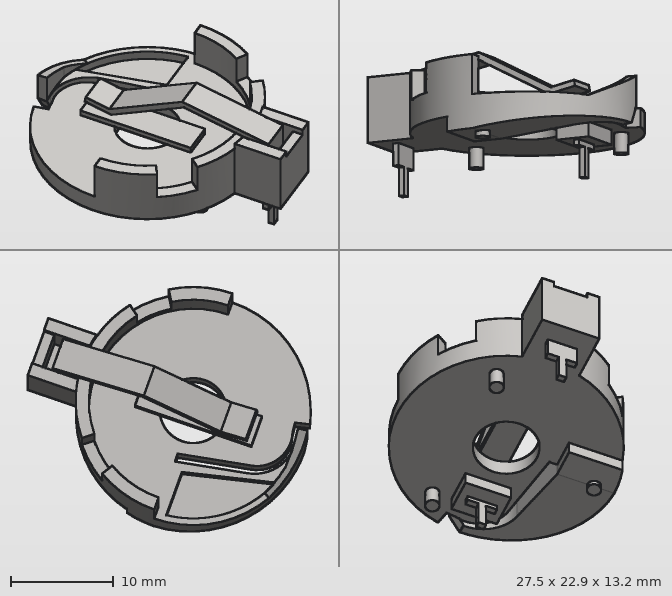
import cadquery as cq
import math

disc_diameter = 22.9
disc_radius = disc_diameter / 2
disc_height = 1.9
hole_diameter = 6.5

wall_inner_radius = 10.18
wall_top = 5.88
notch_floor = 2.9
notch_start_angle = 38.0
notch_end_angle = 58.5

slot_angle = 10.0
slot_outer_y = 5.4
slot_inner_y = 4.56
slot_outer_left = -10.48
slot_inner_left = -10.0
slot_outer_bend = 4.12
slot_inner_bend = 3.45
slot_outer_end = 185.0
slot_inner_end = 198.0
arm_tip_angle = 186.0
mouth_angle = 192.5
mouth_inner_radius = 9.98

hook_top = 4.87
hook_start_angle = 149.6
hook_inner_radius = 10.78
hook_bend_angle = 166.0
hook_waist = (-10.53, 1.1)
tip_bevel_length = 1.13
pocket_floor = 0.94
pocket_right = -1.0
pocket_right_y = 6.15
pocket_mid_angle = 130.0
pocket_left = (-9.95, 4.12)

pad_depth = 1.48
ramp_pad_length = 2.97
block_length = 3.55
block_width = 4.8
post_diameter = 1.4
post_side_position = (8.0, -4.43)
post_back_y = 9.3
post_depth = 2.0

overall_length = 27.5
housing_right = overall_length - disc_radius
housing_width = 6.05
housing_top = 6.52
channel_width = 3.52
channel_right = 15.0
channel_floor = disc_height

sheet = 0.6
contact_width = 3.1
pin_width = 0.8
pin_bottom = -5.0
lower_contact_left = -6.55
lower_contact_right = 5.5
lower_shoulder = -2.04
upper_contact_right = 14.0
upper_shoulder = -2.2
spring_top = [(-5.97, 4.48), (-3.38, 4.0), (4.56, 8.2), (upper_contact_right, 6.45)]
spring_underside = [(-6.08, 3.88), (-3.15, 3.33), (4.75, 7.54), (upper_contact_right - sheet, 5.95)]

reach = 1.2 * disc_radius


def polar(radius, angle, centre=(0, 0)):
    a = math.radians(angle)
    return (centre[0] + radius * math.cos(a), centre[1] + radius * math.sin(a))


def slab(x0, x1, width, z0, z1):
    """Box between two X and two Z positions, centred on Y = 0."""
    box = cq.Workplane("XY").box(x1 - x0, width, z1 - z0, centered=(False, True, False))
    return box.translate((x0, 0, z0))


def disc(radius, z0, z1):
    return cq.Workplane("XY").workplane(offset=z0).circle(radius).extrude(z1 - z0)


def sector(start, end, z0, z1):
    """Wedge with its apex on the plate axis, for angles less than 90 degrees apart."""
    far = 2 * disc_radius
    outline = cq.Workplane("XY").workplane(offset=z0).moveTo(0, 0)
    return outline.lineTo(*polar(far, start)).lineTo(*polar(far, end)).close().extrude(z1 - z0)


def slot_bend(edge_y, left, radius, end_angle):
    """Start, middle and end of the bend that is tangent to a sloping slot edge."""
    slope = math.radians(slot_angle)
    centre_x = left + radius
    centre = (centre_x, edge_y + centre_x * math.tan(slope) - radius / math.cos(slope))
    start_angle = 90 + slot_angle
    middle_angle = (start_angle + end_angle) / 2
    return [polar(radius, angle, centre) for angle in (start_angle, middle_angle, end_angle)]


outer_bend = slot_bend(slot_outer_y, slot_outer_left, slot_outer_bend, slot_outer_end)
inner_bend = slot_bend(slot_inner_y, slot_inner_left, slot_inner_bend, slot_inner_end)
arm_tip = polar(-slot_outer_left, arm_tip_angle)


def along_arm(z0):
    """Open outline along the arm side of the slot, ending outside the plate at the arm tip."""
    outline = cq.Workplane("XY").workplane(offset=z0).moveTo(0, slot_outer_y).lineTo(*outer_bend[0])
    outline = outline.threePointArc(*outer_bend[1:]).lineTo(*arm_tip)
    return outline.lineTo(*polar(reach, arm_tip_angle))


def make_slot():
    outline = along_arm(0).lineTo(*polar(reach, mouth_angle)).lineTo(*polar(mouth_inner_radius, mouth_angle))
    outline = outline.lineTo(*inner_bend[2]).threePointArc(inner_bend[1], inner_bend[0])
    return outline.lineTo(0, slot_inner_y).close().extrude(disc_height)


def make_pocket():
    corner = (pocket_right, math.sqrt(hook_inner_radius**2 - pocket_right**2))
    outline = cq.Workplane("XY").workplane(offset=pocket_floor)
    outline = outline.moveTo(pocket_right, pocket_right_y).lineTo(*corner)
    outline = outline.threePointArc(polar(hook_inner_radius, pocket_mid_angle), pocket_left)
    return outline.close().extrude(disc_height - pocket_floor)


def make_wall():
    wall = disc(disc_radius, 0, wall_top).cut(disc(wall_inner_radius, 0, wall_top))
    wall = wall.intersect(slab(0, reach, 2 * reach, 0, wall_top))
    for start, end in ((notch_start_angle, notch_end_angle), (-notch_end_angle, -notch_start_angle)):
        wall = wall.cut(sector(start, end, notch_floor, wall_top))
    return wall


def radial_section(angle, height):
    """Upright rectangle on a radial line, from inside the hook to outside the plate."""
    near = polar(wall_inner_radius, angle)
    far = polar(reach, angle)
    corners = [(*near, 0), (*far, 0), (*far, height), (*near, height)]
    return cq.Wire.makePolygon([cq.Vector(*corner) for corner in corners], close=True)


def make_hook():
    """Upright rim at the arm tip; its top climbs from the plate to the tip."""
    mid_angle = (hook_start_angle + arm_tip_angle) / 2
    bend_mid_angle = (hook_start_angle + hook_bend_angle) / 2
    outline = cq.Workplane("XY").moveTo(*polar(disc_radius, hook_start_angle))
    outline = outline.threePointArc(polar(disc_radius, mid_angle), polar(disc_radius, arm_tip_angle))
    outline = outline.lineTo(*arm_tip).threePointArc(hook_waist, polar(hook_inner_radius, hook_bend_angle))
    outline = outline.threePointArc(
        polar(hook_inner_radius, bend_mid_angle), polar(hook_inner_radius, hook_start_angle)
    )
    hook = outline.close().extrude(hook_top).cut(disc(reach, 0, pocket_floor))
    start_section = radial_section(hook_start_angle, disc_height)
    tip_section = radial_section(arm_tip_angle, hook_top)
    return hook.intersect(cq.Workplane(cq.Solid.makeLoft([start_section, tip_section], True)))


def make_tip_bevel():
    """Waste below the arm tip, leaving a sloping lower edge there."""
    tip_y = disc_radius * math.sin(math.radians(arm_tip_angle))
    bevel_start = tip_y + tip_bevel_length
    profile = cq.Workplane("YZ").polyline(
        [(bevel_start, 0), (tip_y, disc_height), (tip_y, -pad_depth), (bevel_start, -pad_depth)]
    )
    slot_middle = (slot_outer_left + slot_inner_left) / 2
    plate_side = slab(slot_middle, 0, 2 * reach, -pad_depth, disc_height)
    return profile.close().extrude(-reach).cut(plate_side)


def make_ramp_pad():
    """Pad under the arm: flat beside the slot end, then thinning out towards the arm tip."""
    outline = along_arm(-pad_depth).lineTo(-reach, reach).lineTo(ramp_pad_length, reach)
    region = outline.lineTo(ramp_pad_length, slot_outer_y).close().extrude(pad_depth)
    profile = cq.Workplane("XZ").polyline(
        [(-disc_radius, 0), (0, -pad_depth), (ramp_pad_length, -pad_depth), (ramp_pad_length, 0)]
    )
    ramp = profile.close().extrude(reach, both=True)
    return disc(disc_radius, -pad_depth, 0).intersect(region).intersect(ramp)


def make_posts():
    side_x, side_y = post_side_position
    centres = [(-side_x, side_y), (side_x, side_y), (0, post_back_y)]
    return cq.Workplane("XY").pushPoints(centres).circle(post_diameter / 2).extrude(-post_depth)


def make_housing():
    channel = slab(0, channel_right, channel_width, channel_floor, housing_top)
    ledge_gap = slab(channel_right, housing_right, channel_width, wall_top, housing_top)
    housing = slab(0, housing_right, housing_width, 0, housing_top)
    return housing.cut(disc(disc_radius, 0, housing_top)).cut(channel).cut(ledge_gap)


def make_lower_contact():
    left_inside = lower_contact_left + sheet
    strip = slab(lower_contact_left, lower_contact_right, contact_width, disc_height, disc_height + sheet)
    leg = slab(lower_contact_left, left_inside, contact_width, lower_shoulder, disc_height)
    pin = slab(lower_contact_left, left_inside, pin_width, pin_bottom, lower_shoulder)
    return strip.union(leg).union(pin)


def make_upper_contact():
    leg_end = [(upper_contact_right, upper_shoulder), (upper_contact_right - sheet, upper_shoulder)]
    profile = cq.Workplane("XZ").polyline(spring_top + leg_end + spring_underside[::-1]).close()
    spring = profile.extrude(contact_width / 2, both=True)
    pin = slab(upper_contact_right - sheet, upper_contact_right, pin_width, pin_bottom, upper_shoulder)
    return spring.union(pin)


base = disc(disc_radius, 0, disc_height).cut(disc(hole_diameter / 2, 0, disc_height))
base = base.cut(make_slot()).cut(make_pocket()).union(make_hook())
base = base.union(make_ramp_pad()).cut(make_tip_bevel())

leg_middle = lower_contact_left + sheet / 2
contact_block = slab(leg_middle - block_length / 2, leg_middle + block_length / 2, block_width, -pad_depth, 0)

holder = base.union(make_wall()).union(contact_block).union(make_posts())
result = holder.union(make_housing()).union(make_lower_contact()).union(make_upper_contact())